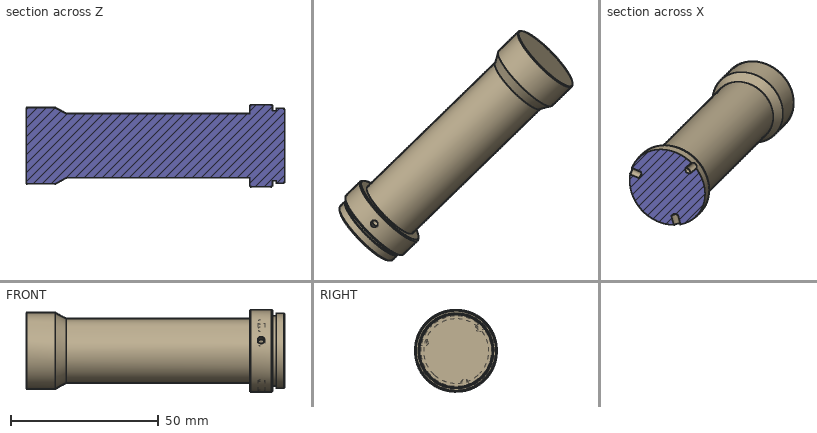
import cadquery as cq
import math

length = 87.8
head_length = 9.8
taper_end = 13.5
collar_start = 75.85
collar_width = 7.8
collar_end = collar_start + collar_width
rim_start = 84.8

head_diameter = 26.1
tube_diameter = 22.0
collar_diameter = 28.0
groove_diameter = 24.0
rim_diameter = 25.55

head_chamfer = 0.3
edge_chamfer = 0.4

hole_diameter = 2.4
hole_depth = 3.5
drill_point_angle = 118.0
hole_count = 3
first_hole_angle = 45.0
hole_x = collar_start + collar_width / 2


def cylinder(start, end, diameter):
    """Solid cylinder on the X axis between two stations."""
    return cq.Workplane("YZ", origin=(start, 0, 0)).circle(diameter / 2).extrude(end - start)


def make_taper():
    """Cone blending the head down to the tube."""
    profile = [
        (head_length, 0),
        (head_length, head_diameter / 2),
        (taper_end, tube_diameter / 2),
        (taper_end, 0),
    ]
    return cq.Workplane("XY").polyline(profile).close().revolve(360, (0, 0), (1, 0))


def make_hole_cutter(angle):
    """Drill shape entering radially through the collar surface."""
    surface_radius = collar_diameter / 2
    hole_radius = hole_diameter / 2
    floor = surface_radius - hole_depth
    tip = floor - hole_radius / math.tan(math.radians(drill_point_angle / 2))
    outside = surface_radius + hole_radius
    profile = [
        (hole_x, tip),
        (hole_x + hole_radius, floor),
        (hole_x + hole_radius, outside),
        (hole_x, outside),
    ]
    drill = cq.Workplane("XY").polyline(profile).close().revolve(360, (hole_x, 0), (hole_x, 1))
    return drill.rotate((0, 0, 0), (1, 0, 0), angle)


head = cylinder(0, head_length, head_diameter).faces("<X").edges().chamfer(head_chamfer)
tube = cylinder(taper_end, collar_start, tube_diameter)
collar = cylinder(collar_start, collar_end, collar_diameter).edges().chamfer(edge_chamfer)
groove = cylinder(collar_end, rim_start, groove_diameter)
rim = cylinder(rim_start, length, rim_diameter).faces(">X").edges().chamfer(edge_chamfer)

result = head.union(make_taper()).union(tube).union(collar).union(groove).union(rim)
for index in range(hole_count):
    result = result.cut(make_hole_cutter(first_hole_angle + index * 360 / hole_count))